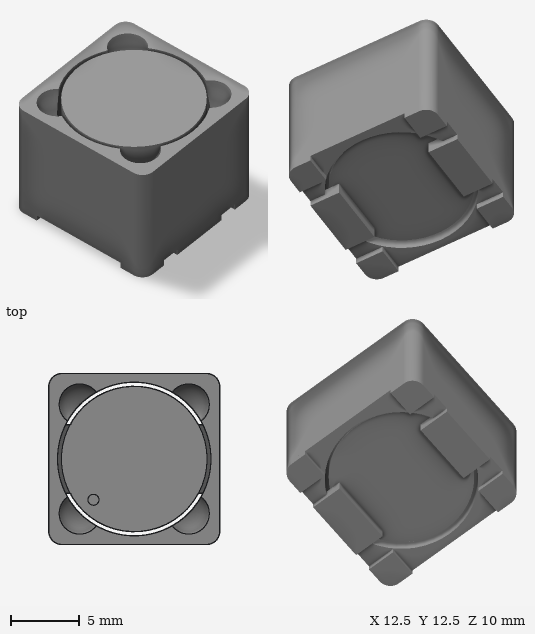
import cadquery as cq

side = 12.5
height = 10.0
corner_radius = 1.0

foot_height = 0.5
bore_radius = 5.6
core_radius = 5.31
pocket_radius = 1.5
pocket_offset = 3.98

foot_side = 2.25

terminal_length = 2.45
terminal_width = 5.0
terminal_height = 2 * foot_height

mark_radius = 0.4
mark_depth = 0.12
mark_offset = 2.98

signs = (-1, 1)
corners = [(x_sign, y_sign) for x_sign in signs for y_sign in signs]


def make_rounded_block(bottom, top):
    """Square block with the outer plan shape and rounded vertical corners."""
    block = cq.Workplane("XY").workplane(offset=bottom).rect(side, side).extrude(top - bottom)
    return block.edges("|Z").fillet(corner_radius)


def make_terminal(x_sign):
    """Solder terminal block, flush with one X side."""
    return (
        cq.Workplane("XY")
        .center(x_sign * (side - terminal_length) / 2, 0)
        .rect(terminal_length, terminal_width)
        .extrude(terminal_height)
    )


def make_foot(x_sign, y_sign):
    """Square corner foot that follows the rounded corner of the housing."""
    foot_center = (side - foot_side) / 2
    foot = (
        cq.Workplane("XY")
        .center(x_sign * foot_center, y_sign * foot_center)
        .rect(foot_side, foot_side)
        .extrude(foot_height)
    )
    return foot.intersect(make_rounded_block(0, foot_height)).solids()


def make_housing():
    """Housing with a through bore, hemispherical corner pockets and terminal recesses."""
    housing = make_rounded_block(foot_height, height)
    housing = housing.cut(cq.Workplane("XY").circle(bore_radius).extrude(height))
    for x_sign, y_sign in corners:
        pocket_center = (x_sign * pocket_offset, y_sign * pocket_offset, height)
        housing = housing.cut(cq.Workplane("XY").sphere(pocket_radius).translate(pocket_center))
    for x_sign in signs:
        housing = housing.cut(make_terminal(x_sign))
    return housing.solids()


def make_mark():
    """Round polarity mark, flush with the top of the core."""
    return (
        cq.Workplane("XY")
        .workplane(offset=height - mark_depth)
        .center(-mark_offset, -mark_offset)
        .circle(mark_radius)
        .extrude(mark_depth)
    )


def make_core():
    """Round core resting on the terminals, with a recess for the polarity mark."""
    core = (
        cq.Workplane("XY")
        .workplane(offset=terminal_height)
        .circle(core_radius)
        .extrude(height - terminal_height)
    )
    return core.cut(make_mark()).solids()


housing = make_housing()
core = make_core()
mark = make_mark()
terminals = [make_terminal(x_sign).val() for x_sign in signs]
feet = [make_foot(x_sign, y_sign).val() for x_sign, y_sign in corners]

result = cq.Compound.makeCompound(
    [housing.val(), core.val(), mark.val(), *terminals, *feet]
)